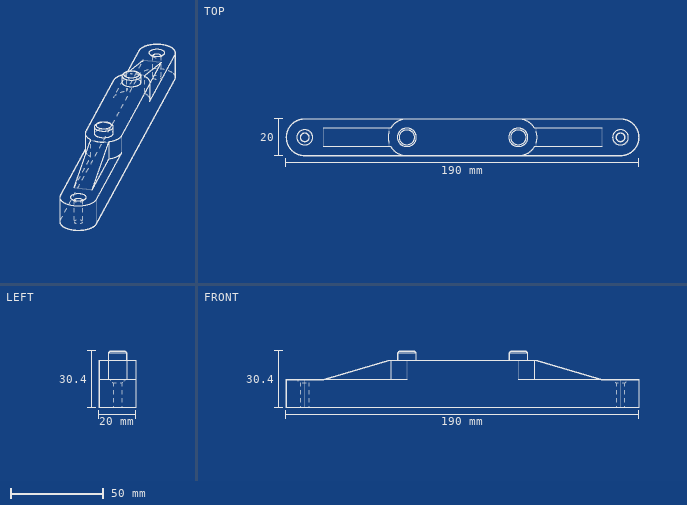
import cadquery as cq

length = 190.0
width = 20.0
base_height = 15.0

pin_spacing = 60.0
block_top = 25.5
block_end_diameter = width

total_height = 30.4
pin_diameter = 10.0
pin_chamfer = 1.0

rib_width = 10.0
rib_span = 150.1
rib_top_span = 79.0

hole_spacing = length - width
hole_diameter = 4.5
countersink_diameter = 8.4
countersink_angle = 90


def rounded_bar(overall_length, end_diameter, bottom, top):
    """Bar along X with semicircular ends."""
    return (
        cq.Workplane("XY")
        .workplane(offset=bottom)
        .slot2D(overall_length, end_diameter)
        .extrude(top - bottom)
    )


base = rounded_bar(length, width, 0, base_height)
block = rounded_bar(pin_spacing + block_end_diameter, block_end_diameter, base_height, block_top)

ribs = (
    cq.Workplane("XZ")
    .moveTo(-rib_span / 2, base_height)
    .lineTo(rib_span / 2, base_height)
    .lineTo(rib_top_span / 2, block_top)
    .lineTo(-rib_top_span / 2, block_top)
    .close()
    .extrude(rib_width / 2, both=True)
)

pins = (
    cq.Workplane("XY")
    .workplane(offset=block_top)
    .pushPoints([(-pin_spacing / 2, 0), (pin_spacing / 2, 0)])
    .circle(pin_diameter / 2)
    .extrude(total_height - block_top)
    .faces(">Z")
    .chamfer(pin_chamfer)
)

body = base.union(block).union(ribs).union(pins)

result = (
    body.copyWorkplane(cq.Workplane("XY", origin=(0, 0, base_height)))
    .pushPoints([(-hole_spacing / 2, 0), (hole_spacing / 2, 0)])
    .cskHole(hole_diameter, countersink_diameter, countersink_angle)
)